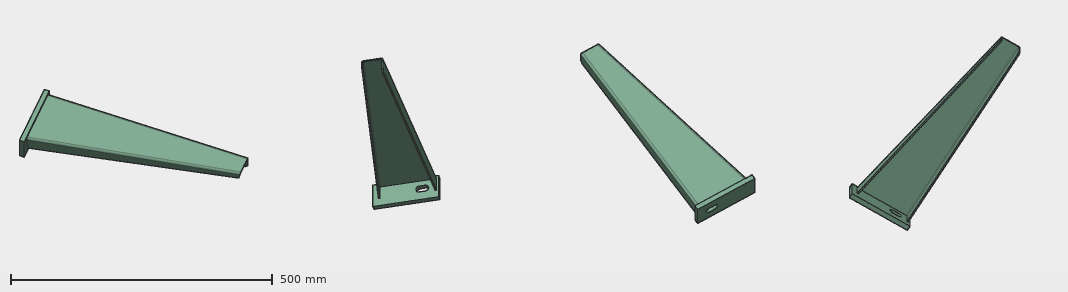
import cadquery as cq
import math

plate_thickness = 10.0
plate_width = 130.0
plate_height = 50.0
slot_length = 25.0
slot_height = 13.5
slot_offset_y = 32.5

sheet = 3.0
bend_outer = 4.5
bend_inner = bend_outer - sheet
bend_neutral = 2.78
arm_end = 420.0
arm_inset = 4.0
arm_top = plate_height / 2 - arm_inset
arm_depth = 30.0
back_y = plate_width / 2 - arm_inset
root_width = 115.0
tip_width = 42.5
tip_flange_depth = 15.0
corner_chamfer = 5.0

arm_length = arm_end - plate_thickness
taper = math.atan((root_width - tip_width) / arm_length)
front_root_y = back_y - root_width
front_length = arm_length / math.cos(taper)
overrun = 10.0


def make_plate():
    """Rectangular plate with one horizontal slot through its thickness."""
    plate = cq.Workplane("YZ").rect(plate_width, plate_height).extrude(plate_thickness)
    slot = (
        cq.Workplane("YZ")
        .center(plate_width / 2 - slot_offset_y, 0)
        .slot2D(slot_length, slot_height)
        .extrude(plate_thickness)
    )
    return plate.cut(slot)


def folded_edge(plane, length):
    """Quarter bend and full-depth flange; local x points outwards, the outer face is at x = 0."""
    mid = math.sqrt(0.5)
    bend_x = -bend_outer
    bend_z = -bend_outer
    return (
        cq.Workplane(plane)
        .moveTo(bend_x, 0)
        .threePointArc((bend_x + bend_outer * mid, bend_z + bend_outer * mid), (0, bend_z))
        .lineTo(0, -arm_depth)
        .lineTo(-sheet, -arm_depth)
        .lineTo(-sheet, bend_z)
        .threePointArc((bend_x + bend_inner * mid, bend_z + bend_inner * mid), (bend_x, -sheet))
        .close()
        .extrude(length)
    )


def make_web():
    """Flat top sheet between the two bend lines."""
    bend_setback = bend_outer / math.cos(taper)
    return (
        cq.Workplane("XY", origin=(0, 0, arm_top))
        .moveTo(plate_thickness, back_y - bend_outer)
        .lineTo(arm_end, back_y - bend_outer)
        .lineTo(arm_end, back_y - tip_width + bend_setback)
        .lineTo(plate_thickness, front_root_y + bend_setback)
        .close()
        .extrude(-sheet)
    )


def make_back_flange():
    """Straight flange of constant depth with its lower free corner cut off."""
    plane = cq.Plane(origin=(plate_thickness, back_y, arm_top), xDir=(0, 1, 0), normal=(1, 0, 0))
    flange = folded_edge(plane, arm_length)
    return flange.faces(">X").edges("<Z").chamfer(corner_chamfer)


def make_front_flange():
    """Slanted flange that gets shallower towards the tip.

    Its root end is square to the flange; its tip end leans back with the fold.
    """
    along = cq.Vector(math.cos(taper), math.sin(taper), 0)
    outward = cq.Vector(math.sin(taper), -math.cos(taper), 0)
    root = cq.Vector(plate_thickness, front_root_y, arm_top)
    far_end = root + along * (front_length + overrun)
    plane = cq.Plane(origin=far_end, xDir=outward, normal=along * -1)
    flange = folded_edge(plane, front_length + overrun)

    root_x = bend_outer * math.tan(taper)
    tip_x = front_length + root_x
    half_bend = math.pi / 4
    slip = bend_neutral * math.tan(taper)
    bend_foot_x = tip_x - 2 * half_bend * slip
    tip_foot_x = bend_foot_x - (tip_flange_depth - bend_outer) * math.tan(taper)
    outline = (
        cq.Workplane(cq.Plane(origin=root, xDir=along, normal=outward))
        .moveTo(root_x, 0)
        .lineTo(tip_x, 0)
        .threePointArc(
            (tip_x - half_bend * slip, -bend_outer * (1 - math.cos(half_bend))),
            (bend_foot_x, -bend_outer),
        )
        .lineTo(tip_foot_x, -tip_flange_depth)
        .lineTo(root_x, -arm_depth)
        .close()
        .extrude(-bend_outer)
    )
    return flange.intersect(outline)


plate = make_plate()
arm = make_web().union(make_back_flange()).union(make_front_flange())
result = cq.Compound.makeCompound([plate.val(), arm.solids().val()])